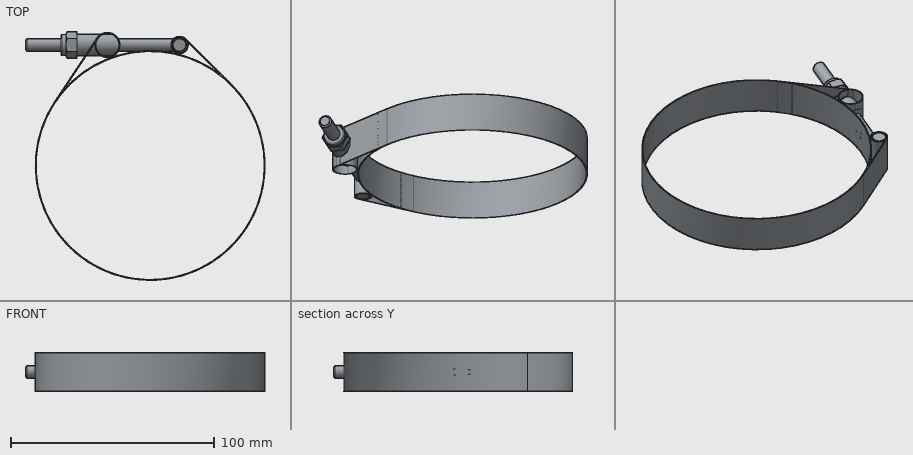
import cadquery as cq
import math

BAND_HEIGHT = 19.1
BAND_THICKNESS = 0.5
RING_BORE = 112.0
RING_RADIUS = RING_BORE / 2 + BAND_THICKNESS
SLEEVE_LOOP_RADIUS = 11.4 / 2 + BAND_THICKNESS
PIN_LOOP_RADIUS = 7.6 / 2 + BAND_THICKNESS

ROD_RADIUS = 6.4 / 2
ROD_TIP_CHAMFER = 0.9
SLEEVE_RADIUS = 10.8 / 2
NUT_FLATS = 11.4
NUT_CORNERS = NUT_FLATS / math.cos(math.pi / 6)
NUT_THICKNESS = 5.3
COLLAR_RADIUS = 10.5 / 2
COLLAR_LENGTH = 2.5
COLLAR_FILLET = 0.6

TOTAL_X = 117.8
TOTAL_Y = 122.3
BOLT_Y = TOTAL_Y - RING_RADIUS - NUT_CORNERS / 2
ROD_TIP_X = RING_RADIUS - TOTAL_X
SLEEVE_LOOP_X = -21.0
PIN_LOOP_X = 14.4
NUT_SEAT_X = -36.1


def upright_cylinder(x, y, radius):
    return cq.Workplane("XY").center(x, y).circle(radius).extrude(BAND_HEIGHT / 2, both=True)


def bolt_cylinder(start_x, end_x, radius):
    """Cylinder on the bolt axis, running in +X from start_x to end_x."""
    plane = cq.Workplane("YZ", origin=(start_x, BOLT_Y, 0))
    return plane.circle(radius).extrude(end_x - start_x)


def band_tube(x, y, radius):
    outer = upright_cylinder(x, y, radius)
    return outer.cut(upright_cylinder(x, y, radius - BAND_THICKNESS))


def tangent_strip(loop_x, loop_radius, side):
    """Straight strip tangent to the ring and the loop; side is -1 for the -X side, +1 for +X."""
    distance = math.hypot(loop_x, BOLT_Y)
    axis_angle = math.atan2(BOLT_Y, loop_x)
    tangent_angle = math.acos((RING_RADIUS - loop_radius) / distance)
    normal_angle = axis_angle - side * tangent_angle
    normal_x = math.cos(normal_angle)
    normal_y = math.sin(normal_angle)

    def offset_point(x, y, radius):
        return (x + radius * normal_x, y + radius * normal_y)

    corners = [
        offset_point(0, 0, RING_RADIUS),
        offset_point(loop_x, BOLT_Y, loop_radius),
        offset_point(loop_x, BOLT_Y, loop_radius - BAND_THICKNESS),
        offset_point(0, 0, RING_RADIUS - BAND_THICKNESS),
    ]
    return cq.Workplane("XY").polyline(corners).close().extrude(BAND_HEIGHT / 2, both=True)


def make_band():
    band = band_tube(0, 0, RING_RADIUS)
    loops = [(SLEEVE_LOOP_X, SLEEVE_LOOP_RADIUS, -1), (PIN_LOOP_X, PIN_LOOP_RADIUS, 1)]
    for loop_x, loop_radius, side in loops:
        band = band.union(band_tube(loop_x, BOLT_Y, loop_radius))
        band = band.union(tangent_strip(loop_x, loop_radius, side))
    return band


def make_nut():
    """Locking hex nut: corners rounded off on the -X face, which carries a round collar."""
    nut_face_x = NUT_SEAT_X - NUT_THICKNESS
    hexagon = cq.Workplane("YZ", origin=(nut_face_x, BOLT_Y, 0)).polygon(6, NUT_CORNERS)
    corner_chamfer = (NUT_CORNERS - NUT_FLATS) / 2
    chamfer_length = corner_chamfer * math.tan(math.pi / 6)
    envelope = bolt_cylinder(nut_face_x, NUT_SEAT_X, NUT_CORNERS / 2)
    envelope = envelope.faces("<X").chamfer(chamfer_length, corner_chamfer)
    nut = hexagon.extrude(NUT_THICKNESS).intersect(envelope)
    collar = bolt_cylinder(nut_face_x - COLLAR_LENGTH, NUT_SEAT_X, COLLAR_RADIUS)
    return nut.union(collar.faces("<X").edges().fillet(COLLAR_FILLET))


def make_sleeve():
    """Sleeve from the nut into its loop, with an end rounded to seat in the far wall."""
    end_radius = SLEEVE_LOOP_RADIUS - BAND_THICKNESS / 2
    straight = bolt_cylinder(NUT_SEAT_X, SLEEVE_LOOP_X, SLEEVE_RADIUS)
    end = bolt_cylinder(SLEEVE_LOOP_X, SLEEVE_LOOP_X + end_radius, SLEEVE_RADIUS)
    end = end.intersect(upright_cylinder(SLEEVE_LOOP_X, BOLT_Y, end_radius))
    return straight.union(end)


def make_bolt():
    rod = bolt_cylinder(ROD_TIP_X, PIN_LOOP_X, ROD_RADIUS).faces("<X").chamfer(ROD_TIP_CHAMFER)
    pin = upright_cylinder(PIN_LOOP_X, BOLT_Y, ROD_RADIUS)
    return rod.union(pin).union(make_sleeve()).union(make_nut())


result = make_band().union(make_bolt())